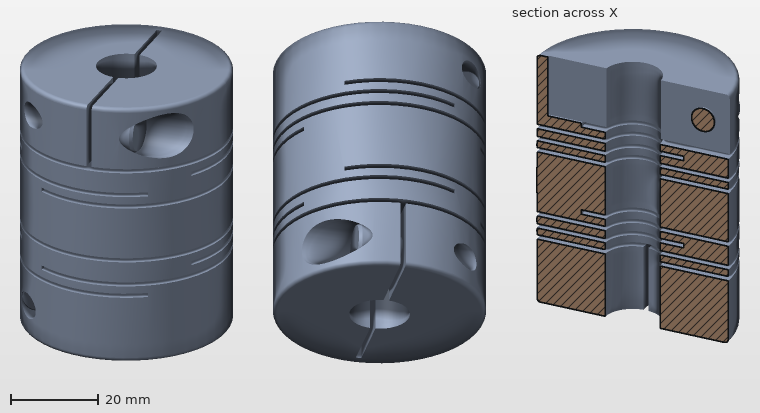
import cadquery as cq

length = 63.5
outer_radius = 24.5
bore_radius = 7.0
end_fillet = 1.0

slot_height = 1.0
slot_reach = 13.0
flexure_slots = [
    (47.9, "-Y"),
    (45.0, "+Y"),
    (41.9, "-X"),
    (39.05, "+X"),
    (25.5, "-Y"),
    (22.6, "+Y"),
    (19.5, "+X"),
    (16.65, "-X"),
]
opening_angle = {"-Y": 0, "+X": 90, "+Y": 180, "-X": 270}
slot_heights = [height for height, _ in flexure_slots]

slit_width = 1.3
slit_reach = 21.65
top_slit_depth = length - max(slot_heights) - slot_height / 2
bottom_slit_depth = min(slot_heights) - slot_height / 2

screw_offset = 18.0
screw_end_distance = 7.5
screw_radius = 3.0
screw_tip = -12.7
tip_chamfer = 0.4
head_radius = 5.0
head_seat = 4.0
head_end = 10.0
head_chamfer_length = 0.75
head_chamfer_width = 0.45
counterbore_radius = 5.5


def side_cutter(reach, width, height, base):
    """Block open towards -Y that stops at y = reach."""
    depth = outer_radius + reach
    return (
        cq.Workplane("XY", origin=(0, reach - depth / 2, base))
        .rect(width, depth)
        .extrude(height)
    )


def rod(radius, start, end):
    """Cylinder on the screw axis of the top clamp, between two X positions."""
    origin = (start, -screw_offset, length - screw_end_distance)
    return cq.Workplane("YZ", origin=origin).circle(radius).extrude(end - start)


def flexure_slot(height, side):
    cutter = side_cutter(slot_reach, 2 * outer_radius, slot_height, height - slot_height / 2)
    return cutter.rotate((0, 0, 0), (0, 0, 1), opening_angle[side])


def clamp_slit(depth):
    return side_cutter(slit_reach, slit_width, depth, length - depth)


def screw_hole():
    drilled = rod(screw_radius, -outer_radius, head_seat)
    return drilled.union(rod(counterbore_radius, head_seat, outer_radius))


def clamp_screw():
    shank = rod(screw_radius, screw_tip, head_seat).faces("<X").chamfer(tip_chamfer)
    head = rod(head_radius, head_seat, head_end).faces(">X").edges()
    head = head.chamfer(head_chamfer_length, head_chamfer_width)
    return shank.union(head)


def at_bottom(shape):
    """Half turn about the X = Y diagonal at mid-length: moves a top clamp feature to the bottom clamp."""
    middle = length / 2
    return shape.rotate((0, 0, middle), (0.65, 0.65, middle), 180)


body = cq.Workplane("XY").circle(outer_radius).extrude(length)
body = body.faces("<Z or >Z").edges().fillet(end_fillet)
body = body.cut(cq.Workplane("XY").circle(bore_radius).extrude(length))

for height, side in flexure_slots:
    body = body.cut(flexure_slot(height, side))

body = body.cut(clamp_slit(top_slit_depth))
body = body.cut(at_bottom(clamp_slit(bottom_slit_depth)))

body = body.cut(screw_hole()).cut(at_bottom(screw_hole()))
result = body.union(clamp_screw()).union(at_bottom(clamp_screw()))